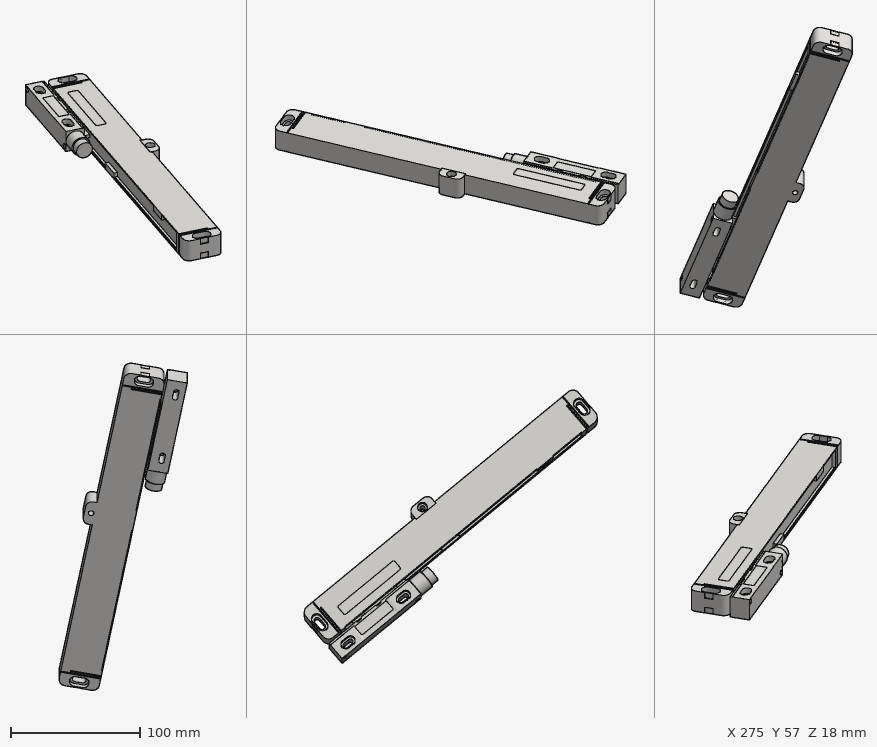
import cadquery as cq


LENGTH = 275.0
HEIGHT = 18.0
TOTAL_WIDTH = 57.0
MARK_DEPTH = 0.3
RELIEF_DEPTH = 0.15
COUNTERBORE_DEPTH = 4.7

HEAD_LENGTH = 79.8
HEAD_WIDTH = 15.7
HEAD_SLOT_X = (11.8, 67.6)
HEAD_SLOT_Y = 7.0
HEAD_SLOT_SIZE = (8.8, 4.0)
HEAD_COUNTERBORE_SIZE = (12.0, 7.5)
BACK_STEP_WIDTH = 1.6
SADDLE_TOP = (22.0, 58.0)
SADDLE_FLOOR = (23.6, 55.5)
HEAD_LABEL_Y = (4.5, 13.2)
HEAD_LABEL_RADIUS = 0.8
BACK_NOTCH_X = (29.7, 49.5)
BACK_NOTCH_SIZE = (4.7, 0.8, 2.8)
SCREW_HOLES = ((3.0, 14.8), (76.5, 3.3))
SCREW_MOUTH = 4.0
SCREW_DIAMETER = 2.0
SCREW_DEPTH = 2.8

OUTLET_DIAMETER = 15.5
OUTLET_LENGTH = 11.5
CABLE_DIAMETER = 13.2
CABLE_LENGTH = 6.5

BLADE_X = (25.8, 79.0)
BLADE_THICKNESS = 2.5
POST_X = (36.0, 68.8)
POST_SIZE = (2.5, 3.0)

HOUSING_FRONT = 17.3
HOUSING_WIDTH = 31.5
HOUSING_BACK = HOUSING_FRONT + HOUSING_WIDTH
CORNER_RADIUS = 5.5

CHANNEL_END = 18.2
CHANNEL_DEPTH = 3.0
LIP_HEIGHT = 0.8
LIP_DEPTH = 0.8
INNER_LIP_HEIGHT = 1.6
CLIP_HEIGHT = 5.2
LOWER_CLIP_X = (116.3, 133.6)
UPPER_CLIP_X = (211.5, 228.0)

END_SLOT_X = 5.2
END_SLOT_SIZE = (10.7, 5.0)
END_COUNTERBORE_SIZE = (15.0, 8.2)
END_PAD_WIDTH = 6.5
END_PAD_HEIGHT = 5.0
SEAM_WIDTH = 0.8
SEAM_DEPTH = 0.3
END_SEAM_X = 11.0
COVER_SEAM_X = 13.0
COVER_SEAM_LENGTH = 24.2

LABEL_X = (23.6, 80.5)
LABEL_Y = (25.0, 33.8)
LABEL_RADIUS = 1.5

TAB_X = 124.5
TAB_LENGTH = 19.8
TAB_FRONT = 47.3
TAB_RADIUS = 5.0
TAB_HOLE_Y = 51.7
TAB_HOLE_DIAMETER = 4.0
TAB_COUNTERBORE_DIAMETER = 7.5

HOUSING_MIDDLE = LENGTH / 2
HOUSING_AXIS_Y = HOUSING_FRONT + HOUSING_WIDTH / 2
CHANNEL_FLOOR = HOUSING_FRONT + CHANNEL_DEPTH


def block(x_range, y_range, z_range):
    """Box between the given limits."""
    size = [high - low for low, high in (x_range, y_range, z_range)]
    corner = (x_range[0], y_range[0], z_range[0])
    return cq.Workplane("XY").box(*size, centered=False).translate(corner)


def upright_slot(center, size, z_range, angle=0):
    """Round-ended slot cutter standing along Z; size is (length, width)."""
    bottom, top = z_range
    plane = cq.Workplane("XY", origin=(center[0], center[1], bottom))
    return plane.slot2D(size[0], size[1], angle).extrude(top - bottom)


def upright_cylinder(center, diameter, z_range):
    bottom, top = z_range
    plane = cq.Workplane("XY", origin=(center[0], center[1], bottom))
    return plane.circle(diameter / 2).extrude(top - bottom)


def label_recess(x_range, y_range, radius, surface_z):
    """Cutter for a shallow rounded rectangle sunk in an upper face."""
    cutter = block(x_range, y_range, (surface_z - RELIEF_DEPTH, surface_z))
    return cutter.edges("|Z").fillet(radius)


def mirrored_ends(cutter):
    """The cutter together with its mirror image at the other end of the housing."""
    return cutter.union(cutter.mirror("YZ", (HOUSING_MIDDLE, 0, 0)))


def mirrored_faces(cutter):
    """The cutter together with its mirror image on the opposite Z face."""
    return cutter.union(cutter.mirror("XY", (0, 0, HEIGHT / 2)))


def housing_shell():
    outline = block((0, LENGTH), (HOUSING_FRONT, HOUSING_BACK), (0, HEIGHT))
    return outline.edges("|Z").fillet(CORNER_RADIUS)


def tab_block(z_range):
    """Outline of the tab, which reaches a little way into the housing."""
    x_range = (TAB_X - TAB_LENGTH / 2, TAB_X + TAB_LENGTH / 2)
    tab = block(x_range, (TAB_FRONT, TOTAL_WIDTH), z_range)
    return tab.edges("|Z and >Y").fillet(TAB_RADIUS)


def mounting_tab():
    return tab_block((0, HEIGHT))


def tab_relief():
    """Sets the tab's upper face slightly below the top of the housing."""
    return tab_block((HEIGHT - RELIEF_DEPTH, HEIGHT))


def tab_hole():
    center = (TAB_X, TAB_HOLE_Y)
    hole = upright_cylinder(center, TAB_HOLE_DIAMETER, (0, HEIGHT))
    return hole.union(
        upright_cylinder(center, TAB_COUNTERBORE_DIAMETER, (HEIGHT - COUNTERBORE_DEPTH, HEIGHT))
    )


def front_channel():
    x_range = (CHANNEL_END, LENGTH - CHANNEL_END)
    mouth = block(
        x_range, (HOUSING_FRONT, HOUSING_FRONT + LIP_DEPTH), (LIP_HEIGHT, HEIGHT - LIP_HEIGHT)
    )
    inner = block(
        x_range, (HOUSING_FRONT, CHANNEL_FLOOR), (INNER_LIP_HEIGHT, HEIGHT - INNER_LIP_HEIGHT)
    )
    return mouth.union(inner)


def channel_clips():
    y_range = (HOUSING_FRONT, CHANNEL_FLOOR)
    lower = block(LOWER_CLIP_X, y_range, (0, CLIP_HEIGHT))
    upper = block(UPPER_CLIP_X, y_range, (HEIGHT - CLIP_HEIGHT, HEIGHT))
    return lower.union(upper)


def end_slots():
    center = (END_SLOT_X, HOUSING_AXIS_Y)
    through = upright_slot(center, END_SLOT_SIZE, (0, HEIGHT), 90)
    counterbore = upright_slot(
        center, END_COUNTERBORE_SIZE, (HEIGHT - COUNTERBORE_DEPTH, HEIGHT), 90
    )
    return mirrored_ends(through.union(mirrored_faces(counterbore)))


def end_pads():
    pad = block(
        (0, RELIEF_DEPTH),
        (HOUSING_AXIS_Y - END_PAD_WIDTH / 2, HOUSING_AXIS_Y + END_PAD_WIDTH / 2),
        (HEIGHT - END_PAD_HEIGHT, HEIGHT),
    )
    return mirrored_ends(mirrored_faces(pad))


def end_seams():
    seam_floor = HEIGHT - SEAM_DEPTH
    across = block(
        (END_SEAM_X, END_SEAM_X + SEAM_WIDTH), (HOUSING_FRONT, HOUSING_BACK), (seam_floor, HEIGHT)
    )
    cover_x = (COVER_SEAM_X, COVER_SEAM_X + SEAM_WIDTH)
    cover = block(cover_x, (HOUSING_FRONT, HOUSING_FRONT + COVER_SEAM_LENGTH), (seam_floor, HEIGHT))
    down_front = block(cover_x, (HOUSING_FRONT, HOUSING_FRONT + SEAM_DEPTH), (0, HEIGHT))
    return mirrored_ends(mirrored_faces(across.union(cover)).union(down_front))


def make_housing():
    body = housing_shell().union(mounting_tab())
    body = body.cut(front_channel()).union(channel_clips())
    for cutter in (tab_relief(), tab_hole(), end_slots(), end_pads(), end_seams()):
        body = body.cut(cutter)
    return body.cut(label_recess(LABEL_X, LABEL_Y, LABEL_RADIUS, HEIGHT))


def saddle():
    """Shallow saddle between the two mounting lugs, with sloped ends."""
    floor_z = HEIGHT - MARK_DEPTH
    profile = [
        (SADDLE_TOP[0], HEIGHT),
        (SADDLE_FLOOR[0], floor_z),
        (SADDLE_FLOOR[1], floor_z),
        (SADDLE_TOP[1], HEIGHT),
    ]
    return cq.Workplane("XZ").polyline(profile).close().extrude(-HEAD_WIDTH)


def back_step():
    return block(
        (0, HEAD_LENGTH), (HEAD_WIDTH - BACK_STEP_WIDTH, HEAD_WIDTH), (HEIGHT - MARK_DEPTH, HEIGHT)
    )


def back_notch(x):
    length, depth, height = BACK_NOTCH_SIZE
    return block(
        (x - length / 2, x + length / 2), (HEAD_WIDTH - depth, HEAD_WIDTH), (HEIGHT - height, HEIGHT)
    )


def head_slot(x):
    center = (x, HEAD_SLOT_Y)
    through = upright_slot(center, HEAD_SLOT_SIZE, (0, HEIGHT))
    return through.union(
        upright_slot(center, HEAD_COUNTERBORE_SIZE, (HEIGHT - COUNTERBORE_DEPTH, HEIGHT))
    )


def screw_hole(x, z):
    """Countersunk blind hole in the front face, with a 90 degree countersink."""
    mouth_radius = SCREW_MOUTH / 2
    radius = SCREW_DIAMETER / 2
    profile = [
        (0, 0),
        (mouth_radius, 0),
        (radius, mouth_radius - radius),
        (radius, SCREW_DEPTH),
        (0, SCREW_DEPTH),
    ]
    hole = cq.Workplane("XY").polyline(profile).close().revolve(360, (0, 0, 0), (0, 1, 0))
    return hole.translate((x, 0, z))


def cable_outlet():
    plane = cq.Workplane("YZ", origin=(HEAD_LENGTH, HEAD_WIDTH / 2, HEIGHT / 2))
    sleeve = plane.circle(OUTLET_DIAMETER / 2).extrude(OUTLET_LENGTH)
    return sleeve.faces(">X").workplane().circle(CABLE_DIAMETER / 2).extrude(CABLE_LENGTH)


def blade():
    """Blade that reaches from the head to the floor of the housing channel."""
    y_range = (HEAD_WIDTH, CHANNEL_FLOOR)
    middle = HEIGHT / 2
    half_thickness = BLADE_THICKNESS / 2
    arm = block(BLADE_X, y_range, (middle - half_thickness, middle + half_thickness))
    width, height = POST_SIZE
    for x in POST_X:
        post = block(
            (x - width / 2, x + width / 2), y_range, (middle - height / 2, middle + height / 2)
        )
        arm = arm.union(post)
    return arm


def make_reading_head():
    body = block((0, HEAD_LENGTH), (0, HEAD_WIDTH), (0, HEIGHT))
    body = body.cut(saddle()).cut(back_step())
    body = body.cut(label_recess(SADDLE_FLOOR, HEAD_LABEL_Y, HEAD_LABEL_RADIUS, HEIGHT - MARK_DEPTH))
    for x in HEAD_SLOT_X:
        body = body.cut(head_slot(x))
    for x in BACK_NOTCH_X:
        body = body.cut(back_notch(x))
    for x, z in SCREW_HOLES:
        body = body.cut(screw_hole(x, z))
    return body.union(cable_outlet()).union(blade())


housing = make_housing()
reading_head = make_reading_head()

result = cq.Compound.makeCompound([housing.val(), reading_head.val()])